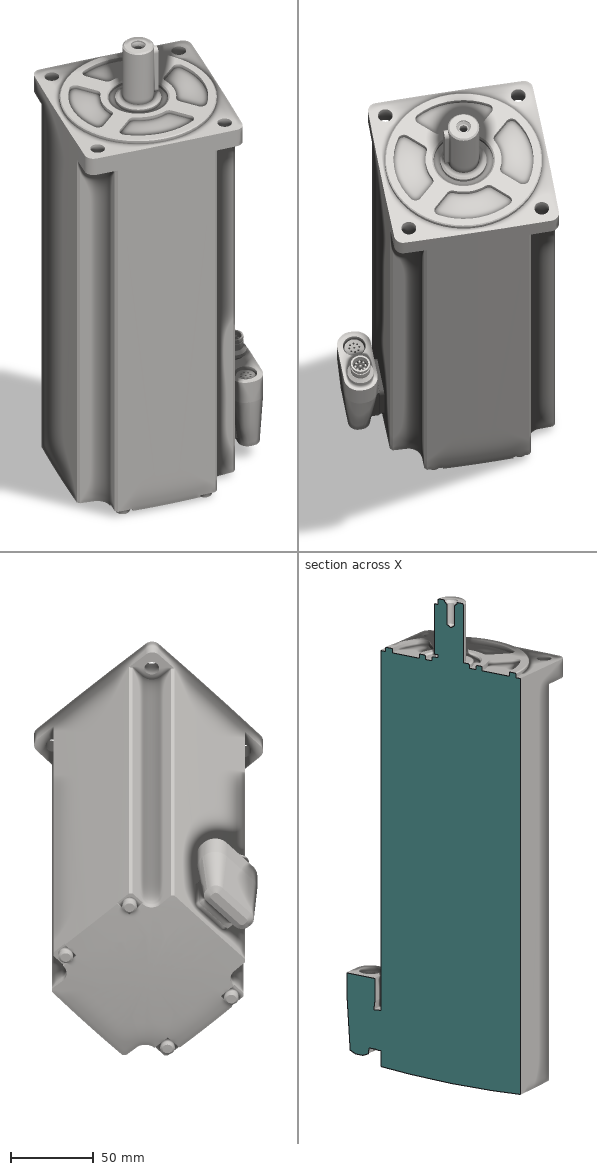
import cadquery as cq
import math

total_height = 306.7
shaft_length = 40.2
flange_face_z = total_height - shaft_length
flange_thickness = 12.0
body_top_z = flange_face_z - flange_thickness

body_half = 51.0
side_bulge = 0.45
side_end = body_half - side_bulge
notch_wall = 32.8
notch_fillet = 7.7
lip_chamfer = 1.5
dome_low_z = 0.77
dome_edge_z = 2.6

flange_corner_radius = 5.5
bolt_offset = 40.8
bolt_hole_diameter = 9.0
pilot_diameter = 95.0
pilot_height = 2.8
pilot_top_z = flange_face_z + pilot_height
pilot_chamfer = 0.5

pocket_inner_radius = 23.0
pocket_outer_radius = 42.3
pocket_web = 11.0
pocket_corner_radius = 3.7
pocket_depth = 2.8
seal_bore_diameter = 36.2
seal_bore_depth = 2.8
seal_bore_chamfer = 1.0
sleeve_diameter = 28.0
sleeve_top_diameter = 25.0
sleeve_chamfer_height = 0.5

shaft_diameter = 19.0
shaft_chamfer = 1.0
key_width = 6.0
key_length = 32.2
key_top = 12.0
key_end_gap = 3.7
centre_recess_diameter = 9.0
centre_recess_depth = 1.0
centre_bore_diameter = 6.0
centre_drill_diameter = 5.0
centre_drill_depth = 15.3
drill_tip_angle = 30

screw_x = 45.0
screw_y = 26.5
screw_diameter = 9.0
screw_tip_diameter = 6.0
screw_tip_height = 1.0
screw_top_z = 4.3
screw_clearance = 0.3

hood_outer_y = 75.5
hood_width = 42.3
hood_depth = 20.5
hood_y = hood_outer_y - hood_depth / 2
hood_flat = 1.8
hood_top_z = 58.0
hood_taper_z = 43.2
hood_bottom_z = 7.5
hood_bottom_width = 36.8
hood_bottom_depth = 13.5
hood_bottom_shift = 1.2
hood_tip_height = 1.8
hood_tip_inset = 4.0
neck_size = 25.0
gasket_size = 25.8
neck_z = 25.5
gasket_outer_y = 53.7
gasket_corner_radius = 3.0

connector_x = 10.7
collar_diameter = 16.0
collar_top_z = 64.0
collar_chamfer = 1.8
plug_diameter = 11.7
plug_top_z = 71.8
plug_groove_diameter = 10.7
plug_groove_z = 68.5
plug_groove_width = 1.5
plug_bore_diameter = 9.5
plug_bore_depth = 6.0
socket_diameter = 13.8
socket_core_diameter = 12.0
socket_depth = 6.0
socket_core_drop = 1.8
pin_diameter = 1.25
pin_circle_radius = 3.0
pin_count = 8
pin_height = 3.7


def disc(diameter, bottom_z, top_z, x=0.0, y=0.0):
    """Upright cylinder between two heights."""
    return cq.Workplane("XY", origin=(x, y, bottom_z)).circle(diameter / 2).extrude(top_z - bottom_z)


def cone(bottom_diameter, top_diameter, bottom_z, top_z):
    """Cone or frustum on the motor axis."""
    start = cq.Vector(0, 0, bottom_z)
    solid = cq.Solid.makeCone(bottom_diameter / 2, top_diameter / 2, top_z - bottom_z, pnt=start)
    return cq.Workplane("XY").add(solid)


def bulged_block(bottom_z, top_z):
    """Square block whose four sides are shallow outward arcs."""
    outline = cq.Workplane("XY", origin=(0, 0, bottom_z)).moveTo(-side_end, -side_end)
    for end, middle in (
        ((side_end, -side_end), (0, -body_half)),
        ((side_end, side_end), (body_half, 0)),
        ((-side_end, side_end), (0, body_half)),
        ((-side_end, -side_end), (-body_half, 0)),
    ):
        outline = outline.threePointArc(middle, end)
    return outline.close().extrude(top_z - bottom_z)


def make_body():
    body = bulged_block(0, body_top_z)
    notch_size = 2 * (body_half - notch_wall)
    for x in (-body_half, body_half):
        for y in (-body_half, body_half):
            notch = cq.Workplane("XY").center(x, y).rect(notch_size, notch_size).extrude(body_top_z)
            body = body.cut(notch.edges("|Z").fillet(notch_fillet))

    for x_sign in (-1, 1):
        for y_sign in (-1, 1):
            for x, y in ((side_end, notch_wall), (notch_wall, side_end)):
                centre = (x_sign * x, y_sign * y, body_top_z / 2)
                body = body.edges(cq.selectors.NearestToPointSelector(centre)).chamfer(lip_chamfer)

    rise = dome_edge_z - dome_low_z
    dome_radius = (body_half**2 + rise**2) / (2 * rise)
    dome = cq.Workplane("XY").sphere(dome_radius).translate((0, 0, dome_low_z + dome_radius))
    return body.intersect(dome)


def make_flange():
    plate = bulged_block(body_top_z, flange_face_z).edges("|Z").fillet(flange_corner_radius)
    pilot = disc(pilot_diameter, flange_face_z, pilot_top_z).faces(">Z").chamfer(pilot_chamfer)
    bolt_spacing = 2 * bolt_offset
    holes = (
        cq.Workplane("XY", origin=(0, 0, body_top_z))
        .rect(bolt_spacing, bolt_spacing, forConstruction=True)
        .vertices()
        .circle(bolt_hole_diameter / 2)
        .extrude(flange_thickness)
    )
    return plate.union(pilot).cut(holes)


def make_pockets():
    """Four ring-shaped sectors separated by diagonal webs."""
    bottom_z = pilot_top_z - pocket_depth
    ring = disc(2 * pocket_outer_radius, bottom_z, pilot_top_z)
    ring = ring.cut(disc(2 * pocket_inner_radius, bottom_z, pilot_top_z))
    for angle in (45, 135):
        web = (
            cq.Workplane("XY", origin=(0, 0, bottom_z))
            .rect(2 * pilot_diameter, pocket_web)
            .extrude(pocket_depth)
            .rotate((0, 0, 0), (0, 0, 1), angle)
        )
        ring = ring.cut(web)
    return ring.edges("|Z").fillet(pocket_corner_radius)


def make_seal_bore():
    """Recess around the shaft that leaves a chamfered sleeve standing."""
    bottom_z = pilot_top_z - seal_bore_depth
    bore = disc(seal_bore_diameter, bottom_z, pilot_top_z)
    mouth_diameter = seal_bore_diameter + 2 * seal_bore_chamfer
    mouth = cone(seal_bore_diameter, mouth_diameter, pilot_top_z - seal_bore_chamfer, pilot_top_z)
    sleeve_inset = (sleeve_diameter - sleeve_top_diameter) / 2
    sleeve = disc(sleeve_diameter, bottom_z, pilot_top_z)
    sleeve = sleeve.faces(">Z").chamfer(sleeve_chamfer_height, sleeve_inset)
    return bore.union(mouth).cut(sleeve)


def make_shaft():
    shaft = disc(shaft_diameter, body_top_z, total_height).faces(">Z").chamfer(shaft_chamfer)
    key = (
        cq.Workplane("XZ")
        .center(0, total_height - key_end_gap - key_length / 2)
        .slot2D(key_length, key_width, 90)
        .extrude(-key_top)
    )
    recess_floor_z = total_height - centre_recess_depth
    recess = disc(centre_recess_diameter, recess_floor_z, total_height)
    countersink_depth = (centre_recess_diameter - centre_bore_diameter) / 2
    countersink_floor_z = recess_floor_z - countersink_depth
    countersink = cone(centre_bore_diameter, centre_recess_diameter, countersink_floor_z, recess_floor_z)
    drill_floor_z = total_height - centre_drill_depth
    drill = disc(centre_drill_diameter, drill_floor_z, total_height)
    drill_tip_z = drill_floor_z - centre_drill_diameter / 2 * math.tan(math.radians(drill_tip_angle))
    drill_tip = cone(0, centre_drill_diameter, drill_tip_z, drill_floor_z)
    return shaft.union(key).cut(recess).cut(countersink).cut(drill).cut(drill_tip)


def add_rear_screws(body):
    seat_inner_reach = screw_diameter / 2 + screw_clearance
    seat_outer_reach = notch_wall - screw_y
    seat_size = seat_inner_reach + seat_outer_reach
    seat_shift = (seat_outer_reach - seat_inner_reach) / 2
    for x in (-screw_x, screw_x):
        for y in (-screw_y, screw_y):
            seat_x = x + math.copysign(seat_shift, x)
            seat_y = y + math.copysign(seat_shift, y)
            seat = cq.Workplane("XY").center(seat_x, seat_y).rect(seat_size, seat_size)
            body = body.cut(seat.extrude(screw_top_z))
            head = disc(screw_diameter, 0, screw_top_z, x, y)
            tip_inset = (screw_diameter - screw_tip_diameter) / 2
            body = body.union(head.faces("<Z").chamfer(screw_tip_height, tip_inset))
    return body


def rounded_section(width, depth, shift=0.0, height=0.0):
    """Section with nearly semicircular ends, moved along Y and Z."""
    radius = (depth - hood_flat) / 2
    section = cq.Sketch().rect(width, depth).vertices().fillet(radius)
    return section.moved(cq.Location(cq.Vector(0, shift, height)))


def make_hood():
    top_section = rounded_section(hood_width, hood_depth, 0, hood_taper_z)
    waist_z = hood_bottom_z + hood_tip_height
    waist = rounded_section(hood_bottom_width, hood_bottom_depth, hood_bottom_shift, waist_z)
    tip = rounded_section(
        hood_bottom_width - 2 * hood_tip_inset,
        hood_bottom_depth - 2 * hood_tip_inset,
        hood_bottom_shift,
        hood_bottom_z,
    )
    base = cq.Workplane("XY", origin=(0, hood_y, 0))
    upper = base.placeSketch(top_section).extrude(hood_top_z - hood_taper_z)
    lower = base.placeSketch(top_section, waist).loft()
    end = base.placeSketch(waist, tip).loft()
    neck = cq.Workplane("XY").box(neck_size, hood_y - gasket_outer_y, neck_size, centered=(True, False, True))
    neck = neck.translate((0, gasket_outer_y, neck_z))
    gasket = (
        cq.Workplane("XY")
        .box(gasket_size, gasket_outer_y - notch_wall, gasket_size, centered=(True, False, True))
        .edges("|Y")
        .fillet(gasket_corner_radius)
        .translate((0, notch_wall, neck_z))
    )
    return upper.union(lower).union(end).union(neck).union(gasket)


def make_contacts(x, bottom_z):
    """Ring of round contacts about a centre one: pins in the plug, holes in the socket."""
    return (
        cq.Workplane("XY", origin=(x, hood_y, bottom_z))
        .polarArray(pin_circle_radius, 0, 360, pin_count)
        .circle(pin_diameter / 2)
        .extrude(pin_height)
        .union(disc(pin_diameter, bottom_z, bottom_z + pin_height, x, hood_y))
    )


def add_plug(part):
    x = -connector_x
    collar = disc(collar_diameter, hood_top_z, collar_top_z, x, hood_y).edges().chamfer(collar_chamfer)
    plug = disc(plug_diameter, hood_top_z, plug_top_z, x, hood_y)
    groove_top_z = plug_groove_z + plug_groove_width
    groove = disc(plug_diameter, plug_groove_z, groove_top_z, x, hood_y)
    groove = groove.cut(disc(plug_groove_diameter, plug_groove_z, groove_top_z, x, hood_y))
    bore_bottom_z = plug_top_z - plug_bore_depth
    bore = disc(plug_bore_diameter, bore_bottom_z, plug_top_z, x, hood_y)
    part = part.union(collar).union(plug).cut(groove).cut(bore)
    return part.union(make_contacts(x, bore_bottom_z))


def add_socket(part):
    x = connector_x
    bottom_z = hood_top_z - socket_depth
    core_top_z = hood_top_z - socket_core_drop
    part = part.cut(disc(socket_diameter, bottom_z, hood_top_z, x, hood_y))
    core = disc(socket_core_diameter, bottom_z, core_top_z, x, hood_y)
    return part.union(core.cut(make_contacts(x, core_top_z - pin_height)))


body = add_rear_screws(make_body())
front = make_flange().cut(make_pockets()).cut(make_seal_bore())
result = body.union(front).union(make_shaft()).union(make_hood())
result = add_socket(add_plug(result))